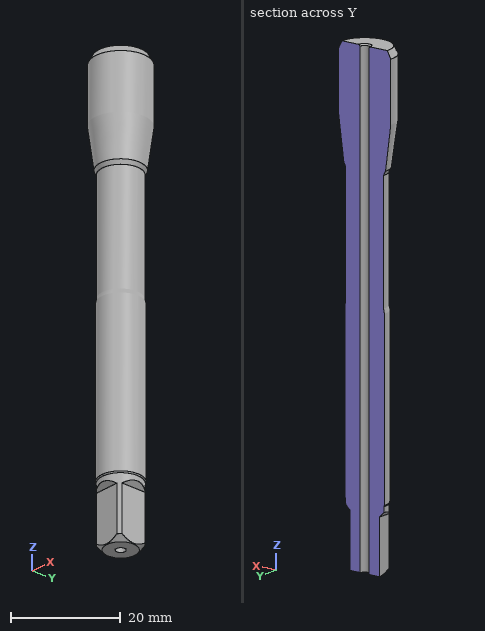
import cadquery as cq

total_length = 100.0
collar_top = 13.5
collar_taper = 0.3
shank_top = 50.9
shank_chamfer_height = 0.9
neck_top = 76.2
cone_bottom = 77.1
head_bottom = 86.0
head_chamfer_height = 1.5

head_diameter = 12.2
head_face_diameter = 10.6
cone_bottom_diameter = 9.8
neck_diameter = 8.9
shank_diameter = 9.3
collar_diameter = 9.0

square_width = 7.0
square_length = 11.4
end_chamfer = 1.1

bore_diameter = 2.0
bore_mouth_diameter = 2.6


def turned_body():
    """Revolve the half profile of all round steps about Z."""
    steps = [
        (collar_diameter - 2 * end_chamfer, 0),
        (collar_diameter, end_chamfer),
        (collar_diameter, collar_top),
        (shank_diameter, collar_top + collar_taper),
        (shank_diameter, shank_top - shank_chamfer_height),
        (neck_diameter, shank_top),
        (neck_diameter, neck_top),
        (cone_bottom_diameter, cone_bottom),
        (head_diameter, head_bottom),
        (head_diameter, total_length - head_chamfer_height),
        (head_face_diameter, total_length),
    ]
    outline = [(0, 0)]
    outline += [(diameter / 2, height) for diameter, height in steps]
    outline.append((0, total_length))
    return cq.Workplane("XZ").polyline(outline).close().revolve(360, (0, 0), (0, 1))


def flat_cutter():
    """Material removed on the +X side, with a 45 degree run-out above the flat."""
    inner = square_width / 2
    outer = collar_diameter
    outline = [
        (inner, 0),
        (outer, 0),
        (outer, square_length + outer - inner),
        (inner, square_length),
    ]
    return cq.Workplane("XZ").polyline(outline).close().extrude(collar_diameter, both=True)


def bore_cutter():
    """Through bore along Z."""
    return cq.Workplane("XY").circle(bore_diameter / 2).extrude(total_length)


def countersink_cutter():
    """Cone that opens the bore at the head face."""
    depth = (bore_mouth_diameter - bore_diameter) / 2
    return (
        cq.Workplane("XY", origin=(0, 0, total_length - depth))
        .circle(bore_diameter / 2)
        .workplane(offset=depth)
        .circle(bore_mouth_diameter / 2)
        .loft()
    )


result = turned_body()
for side in range(4):
    result = result.cut(flat_cutter().rotate((0, 0, 0), (0, 0, 1), 90 * side))
result = result.cut(bore_cutter()).cut(countersink_cutter())